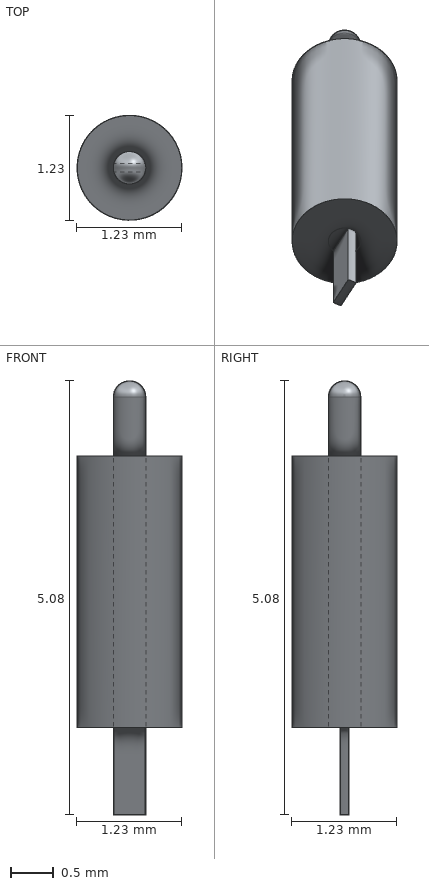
import cadquery as cq

total_length = 5.08
housing_diameter = 1.23
housing_length = 3.18
tail_length = 1.02
pin_diameter = 0.38
tail_thickness = 0.1

pin_radius = pin_diameter / 2
dome_base = total_length - pin_radius


def make_housing():
    """Plain sleeve with a through bore that fits the pin."""
    return (
        cq.Workplane("XY")
        .workplane(offset=tail_length)
        .circle(housing_diameter / 2)
        .circle(pin_radius)
        .extrude(housing_length)
    )


def make_pin():
    """Round pin with a hemispherical tip and a flattened tail below the housing."""
    shank = cq.Workplane("XY").workplane(offset=tail_length).circle(pin_radius).extrude(dome_base - tail_length)
    dome = cq.Workplane("XY").sphere(pin_radius).translate((0, 0, dome_base))
    flat_blank = cq.Workplane("XY").box(
        pin_diameter, tail_thickness, tail_length, centered=(True, True, False)
    )
    tail = cq.Workplane("XY").circle(pin_radius).extrude(tail_length).intersect(flat_blank)
    return shank.union(dome).union(tail)


housing = make_housing()
pin = make_pin()

result = cq.Compound.makeCompound([housing.val(), pin.val()])